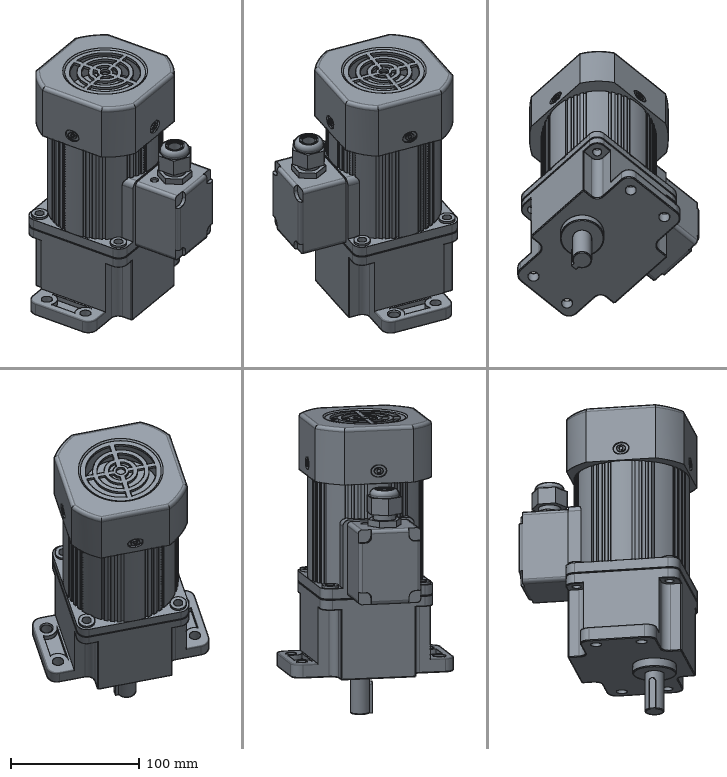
import cadquery as cq
import math


frame_width = 90.0
seam_z = 64.0
gear_flange_height = 8.5
motor_flange_height = 8.5
cover_bottom_z = 154.6
top_z = 199.5
flange_corner_radius = 8.0
seam_chamfer = 0.5

bolt_circle_diameter = 104.0
bolt_offset = bolt_circle_diameter / 2 * math.sqrt(0.5)
bolt_points = [(sx * bolt_offset, sy * bolt_offset) for sx in (-1, 1) for sy in (-1, 1)]
bolt_hole_diameter = 7.0

arm_width = 60.0
arm_inner_radius = 6.2
side_edge_chamfer = 0.8
foot_length = 130.0
foot_height = 11.0
foot_corner_radius = 8.0
foot_top_radius = 0.6
base_edge_chamfer = 0.7
foot_hole_x = 18.0
foot_hole_y = 55.0
foot_hole_diameter = 8.5
foot_countersink_diameter = 10.4
foot_pocket_end_y = 59.3
foot_pocket_depth = 4.0
foot_boss_radius = 8.3
pilot_diameter = 34.0
pilot_height = 7.0
pilot_chamfer = 0.7

shaft_x = -18.0
shaft_diameter = 15.0
shaft_length = 31.5
shaft_chamfer = 0.7
key_width = 5.0
key_thickness = 5.0
key_length = 25.0
key_top_y = 9.5

barrel_radius = frame_width / 2
groove_depth = 1.0
groove_width = 2.3
groove_angles = (12.4, 19.1, 25.8, 32.4)
bolt_seat_diameter = 12.8
bolt_seat_height = 1.8
spigot_radius = 29.5
spigot_end_z = 178.5
pad_half_width = 28.5
pad_top_z = 126.6
pad_edge_radius = 5.0

cover_width = 93.0
cover_corner_radius = 54.0
cover_edge_radius = 3.0
grille_recess_radius = 33.0
grille_recess_floor_radius = 31.5
grille_recess_depth = 1.0
grille_thickness = 2.0
grille_rings = ((6.0, 9.5), (13.0, 18.5), (22.0, 27.6))
grille_hole_diameter = 7.4
spoke_width_x = 4.0
spoke_width_y = 3.4
screw_z = 164.5
screw_recess_size = (12.4, 9.6)
screw_recess_depth = 1.5
screw_head_size = (7.0, 5.4)
screw_socket_across_corners = 3.4
screw_socket_depth = 1.0

box_start_x = frame_width / 2
box_end_x = 85.0
box_width = 50.0
box_bottom_z = 66.0
box_top_z = 125.2
box_edge_radius = 3.0
lid_thickness = 3.0
lid_edge_radius = 2.8
lid_notch = 10.0
lid_notch_radius = 5.0
box_hole_x = 54.7
box_hole_y = -13.1
box_hole_diameter = 6.2
box_hole_depth = 2.0

gland_x = 65.0
base_hex_flats = 23.1
base_hex_height = 5.0
neck_diameter = 17.6
neck_height = 4.8
nut_flats = 24.4
nut_height = 13.2
dome_diameter = 22.8
dome_top_z = 154.0
dome_edge_radius = 4.3
gland_bore_diameter = 10.0
gland_mouth_steps = ((14.6, 0.6), (12.4, 1.2))
gland_bore_depth = 10.0


def flange_plate(bottom_z, height):
    """Square plate with rounded corners."""
    base = cq.Workplane("XY").workplane(offset=bottom_z)
    plate = base.rect(frame_width, frame_width).extrude(height)
    return plate.edges("|Z").fillet(flange_corner_radius)


def bolt_cylinders(bottom_z, height, diameter):
    """One upright cylinder at each flange bolt position."""
    base = cq.Workplane("XY").workplane(offset=bottom_z)
    return base.pushPoints(bolt_points).circle(diameter / 2).extrude(height)


def hexagon(bottom_z, height, across_flats, turn):
    """Upright hexagonal prism on the gland axis; turn = 0 puts two corners on the X direction."""
    corners = across_flats / math.cos(math.pi / 6)
    prism = cq.Workplane("XY").polygon(6, corners).extrude(height)
    return prism.rotate((0, 0, 0), (0, 0, 1), turn).translate((gland_x, 0, bottom_z))


def foot_pocket():
    """Shallow pocket between the two holes at the +Y end of the foot, clear of both hole bosses."""
    inner_y = foot_hole_y - foot_boss_radius
    pocket = (
        cq.Workplane("XY").workplane(offset=foot_height - foot_pocket_depth)
        .center(0, (inner_y + foot_pocket_end_y) / 2)
        .rect(2 * foot_hole_x, foot_pocket_end_y - inner_y)
        .extrude(foot_pocket_depth)
    )
    bosses = (
        cq.Workplane("XY").pushPoints([(-foot_hole_x, foot_hole_y), (foot_hole_x, foot_hole_y)])
        .circle(foot_boss_radius).extrude(foot_height)
    )
    return pocket.cut(bosses)


def make_gearbox():
    housing_height = seam_z - seam_chamfer
    housing = cq.Workplane("XY").rect(frame_width, arm_width).extrude(housing_height)
    housing = housing.edges("|Z").chamfer(side_edge_chamfer)
    arm = cq.Workplane("XY").rect(arm_width, frame_width).extrude(housing_height)
    housing = housing.union(arm)
    half_arm = arm_width / 2
    reach = (half_arm + frame_width / 2) / 2
    inner_corners = cq.selectors.BoxSelector((-reach, -reach, 0), (reach, reach, seam_z))
    inner_edges = housing.edges("|Z").edges(inner_corners)
    housing = inner_edges.fillet(arm_inner_radius)

    foot = cq.Workplane("XY").rect(arm_width, foot_length).extrude(foot_height)
    foot = foot.edges("|Z").fillet(foot_corner_radius)
    foot = foot.faces(">Z").edges().fillet(foot_top_radius)
    gearbox = housing.union(foot)
    gearbox = gearbox.faces("<Z").edges().chamfer(base_edge_chamfer)

    flange = flange_plate(seam_z - gear_flange_height, gear_flange_height)
    flange = flange.faces("<Z or >Z").edges().chamfer(seam_chamfer)
    gearbox = gearbox.union(flange)
    gearbox = gearbox.cut(bolt_cylinders(seam_z - gear_flange_height, gear_flange_height, bolt_hole_diameter))

    hole_points = [(sx * foot_hole_x, sy * foot_hole_y) for sx in (-1, 1) for sy in (-1, 1)]
    holes = cq.Workplane("XY").pushPoints(hole_points).circle(foot_hole_diameter / 2).extrude(foot_height)
    gearbox = gearbox.cut(holes)
    countersink_depth = (foot_countersink_diameter - foot_hole_diameter) / 2
    countersink = cq.Solid.makeCone(
        foot_hole_diameter / 2, foot_countersink_diameter / 2, countersink_depth,
        cq.Vector(foot_hole_x, foot_hole_y, foot_height - countersink_depth),
    )
    gearbox = gearbox.cut(cq.Workplane(countersink))
    pocket = foot_pocket()
    gearbox = gearbox.cut(pocket).cut(pocket.mirror("XZ"))

    pilot = cq.Workplane("XY").center(shaft_x, 0).circle(pilot_diameter / 2).extrude(-pilot_height)
    pilot = pilot.faces("<Z").edges().chamfer(pilot_chamfer)
    shaft_hole = cq.Workplane("XY").center(shaft_x, 0).circle(shaft_diameter / 2).extrude(-pilot_height)
    return gearbox.union(pilot).cut(shaft_hole)


def make_shaft():
    shaft = (
        cq.Workplane("XY").center(shaft_x, 0).circle(shaft_diameter / 2)
        .extrude(-(pilot_height + shaft_length))
        .faces("<Z").edges().chamfer(shaft_chamfer)
    )
    key_bottom_z = -pilot_height - shaft_length
    round_start_z = key_bottom_z + key_length - key_width / 2
    left_x = shaft_x - key_width / 2
    right_x = shaft_x + key_width / 2
    key = (
        cq.Workplane("XZ").workplane(offset=key_thickness - key_top_y)
        .moveTo(left_x, key_bottom_z)
        .lineTo(right_x, key_bottom_z)
        .lineTo(right_x, round_start_z)
        .threePointArc((shaft_x, key_bottom_z + key_length), (left_x, round_start_z))
        .close().extrude(-key_thickness)
    )
    return shaft.union(key)


def make_motor():
    flange_top_z = seam_z + motor_flange_height
    barrel_length = cover_bottom_z - flange_top_z

    barrel = cq.Workplane("XY").workplane(offset=flange_top_z).circle(barrel_radius).extrude(barrel_length)
    angles = [axis + side * angle for axis in range(0, 360, 90) for angle in groove_angles for side in (-1, 1)]
    grooves = cq.Workplane("XY").workplane(offset=flange_top_z)
    for angle in angles:
        x = barrel_radius * math.cos(math.radians(angle))
        y = barrel_radius * math.sin(math.radians(angle))
        grooves = grooves.union(
            cq.Workplane("XY").rect(2 * groove_depth, groove_width).extrude(barrel_length)
            .rotate((0, 0, 0), (0, 0, 1), angle).translate((x, y, flange_top_z))
        )
    motor = barrel.cut(grooves)

    pad = (
        cq.Workplane("XY").workplane(offset=flange_top_z)
        .center(barrel_radius / 2, 0).rect(barrel_radius, 2 * pad_half_width)
        .extrude(pad_top_z - flange_top_z)
        .edges("|X and >Z").fillet(pad_edge_radius)
    )

    spigot = cq.Workplane("XY").workplane(offset=cover_bottom_z).circle(spigot_radius)
    spigot = spigot.extrude(spigot_end_z - cover_bottom_z)

    flange = flange_plate(seam_z, motor_flange_height).faces("<Z").edges().chamfer(seam_chamfer)
    seats = bolt_cylinders(flange_top_z, bolt_seat_height, bolt_seat_diameter)
    motor = motor.union(pad).union(spigot).union(flange).union(seats)
    return motor.cut(bolt_cylinders(seam_z, motor_flange_height + bolt_seat_height, bolt_hole_diameter))


def grille_openings():
    """Ring slots split into quarters by a cross of spokes, and the centre hole."""
    cavity_top_z = top_z - grille_recess_depth - grille_thickness
    base = cq.Workplane("XY").workplane(offset=cavity_top_z)
    outermost = 2 * grille_recess_radius
    spokes = base.rect(outermost, spoke_width_x).extrude(grille_thickness)
    spokes = spokes.union(base.rect(spoke_width_y, outermost).extrude(grille_thickness))
    openings = base.circle(grille_hole_diameter / 2).extrude(grille_thickness)
    for inner_radius, outer_radius in grille_rings:
        ring = base.circle(outer_radius).circle(inner_radius).extrude(grille_thickness)
        openings = openings.union(ring.cut(spokes))
    return openings


def oval_prism(size, height):
    """Upright prism with an elliptical outline."""
    return cq.Workplane("XY").ellipse(size[0] / 2, size[1] / 2).extrude(height)


def side_screw_recess():
    """Recess around a sunken screw head in the -Y wall of the cover."""
    head = oval_prism(screw_head_size, screw_recess_depth)
    socket = (
        cq.Workplane("XY").workplane(offset=screw_recess_depth - screw_socket_depth)
        .polygon(6, screw_socket_across_corners).extrude(screw_socket_depth)
    )
    recess = oval_prism(screw_recess_size, screw_recess_depth).cut(head.cut(socket))
    recess = recess.rotate((0, 0, 0), (1, 0, 0), 90)
    return recess.translate((0, screw_recess_depth - cover_width / 2, screw_z))


def make_fan_cover():
    height = top_z - cover_bottom_z
    base = cq.Workplane("XY").workplane(offset=cover_bottom_z)
    cover = base.rect(cover_width, cover_width).extrude(height)
    cover = cover.intersect(base.circle(cover_corner_radius).extrude(height))
    cover = cover.faces(">Z").edges().fillet(cover_edge_radius)

    cavity_top_z = top_z - grille_recess_depth - grille_thickness
    cover = cover.cut(base.circle(spigot_radius).extrude(cavity_top_z - cover_bottom_z))
    recess = cq.Solid.makeCone(
        grille_recess_floor_radius, grille_recess_radius, grille_recess_depth,
        cq.Vector(0, 0, top_z - grille_recess_depth),
    )
    cover = cover.cut(cq.Workplane(recess)).cut(grille_openings())

    screw_recess = side_screw_recess()
    for angle in range(0, 360, 90):
        cover = cover.cut(screw_recess.rotate((0, 0, 0), (0, 0, 1), angle))
    return cover


def make_terminal_box():
    length = box_end_x - box_start_x
    height = box_top_z - box_bottom_z
    middle_z = (box_top_z + box_bottom_z) / 2
    box = (
        cq.Workplane("XY").box(length, box_width, height)
        .translate((box_start_x + length / 2, 0, middle_z))
        .edges("|X").fillet(box_edge_radius)
        .faces(">X").edges().fillet(lid_edge_radius)
    )

    block_size = 2 * lid_notch
    corner_blocks = (
        cq.Workplane("YZ").workplane(offset=box_end_x - lid_thickness)
        .center(0, middle_z).rect(box_width, height, forConstruction=True).vertices()
        .rect(block_size, block_size).extrude(lid_thickness)
        .edges("|X").fillet(lid_notch_radius)
    )
    box = box.cut(corner_blocks)

    hole = cq.Workplane("XY").workplane(offset=box_top_z).center(box_hole_x, box_hole_y)
    return box.cut(hole.circle(box_hole_diameter / 2).extrude(-box_hole_depth))


def make_cable_gland():
    neck_z = box_top_z + base_hex_height
    nut_z = neck_z + neck_height
    dome_z = nut_z + nut_height
    axis = cq.Workplane("XY").center(gland_x, 0)

    gland = hexagon(box_top_z, base_hex_height, base_hex_flats, 30)
    gland = gland.union(axis.workplane(offset=neck_z).circle(neck_diameter / 2).extrude(neck_height))
    gland = gland.union(hexagon(nut_z, nut_height, nut_flats, 0))
    dome = axis.workplane(offset=dome_z).circle(dome_diameter / 2).extrude(dome_top_z - dome_z)
    gland = gland.union(dome.faces(">Z").edges().fillet(dome_edge_radius))

    for diameter, depth in (*gland_mouth_steps, (gland_bore_diameter, gland_bore_depth)):
        gland = gland.cut(axis.workplane(offset=dome_top_z).circle(diameter / 2).extrude(-depth))
    return gland


gearbox = make_gearbox()
shaft = make_shaft()
motor = make_motor()
fan_cover = make_fan_cover()
terminal_box = make_terminal_box()
cable_gland = make_cable_gland()

result = cq.Compound.makeCompound([
    gearbox.val(),
    shaft.val(),
    motor.val(),
    fan_cover.val(),
    terminal_box.val(),
    cable_gland.val(),
])